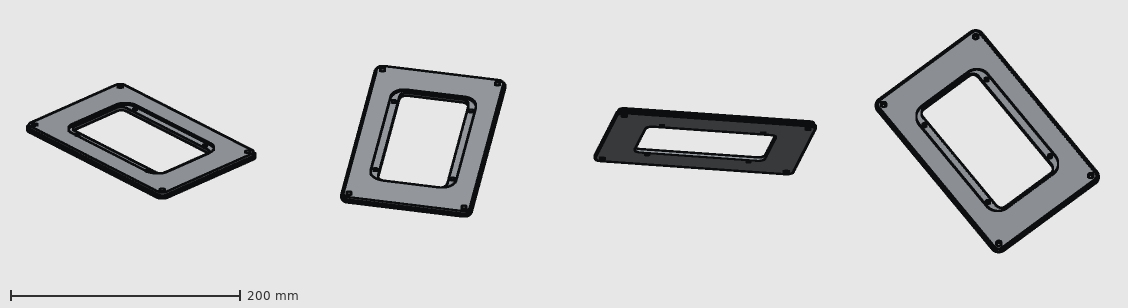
import cadquery as cq

length = 177.1
width = 115.8
height = 5.4

flange_overhang = 1.95
flange_height = 2.4

chamfer_height = 1.2
chamfer_inset = 0.6

panel_length = length - 2 * flange_overhang
panel_width = width - 2 * flange_overhang
panel_corner_radius = 5.0
flange_corner_radius = panel_corner_radius + flange_overhang

corner_hole_diameter = 4.6
corner_hole_spacing_x = panel_length - 2 * panel_corner_radius
corner_hole_spacing_y = panel_width - 2 * panel_corner_radius

recess_length = 119.9
recess_width = 75.7
recess_corner_radius = 12.0
recess_depth = 2.0

window_length = 115.7
window_width = 61.4
window_corner_radius = 6.0

ledge_hole_diameter = 3.6
ledge_hole_spacing_x = 90.0
ledge_hole_spacing_y = (recess_width + window_width) / 2


def rounded_block(size_x, size_y, corner_radius, bottom, top):
    """Centred rectangular block with rounded vertical edges."""
    block = cq.Workplane("XY", origin=(0, 0, bottom)).rect(size_x, size_y).extrude(top - bottom)
    return block.edges("|Z").fillet(corner_radius)


def four_holes(spacing_x, spacing_y, diameter):
    """Four through-hole cutters on the corners of a centred rectangle."""
    centres = cq.Workplane("XY").rect(spacing_x, spacing_y, forConstruction=True).vertices()
    return centres.circle(diameter / 2).extrude(height)


def make_body():
    """Panel standing on a wider flange with a chamfered bottom edge."""
    flange = rounded_block(length, width, flange_corner_radius, 0, flange_height)
    flange = flange.faces("<Z").edges().chamfer(chamfer_height, chamfer_inset)
    panel = rounded_block(panel_length, panel_width, panel_corner_radius, 0, height)
    return flange.union(panel)


def make_window():
    """Cutter for the through window and the recess around it."""
    window = rounded_block(window_length, window_width, window_corner_radius, 0, height)
    recess_floor = height - recess_depth
    recess = rounded_block(recess_length, recess_width, recess_corner_radius, recess_floor, height)
    return window.union(recess)


corner_holes = four_holes(corner_hole_spacing_x, corner_hole_spacing_y, corner_hole_diameter)
ledge_holes = four_holes(ledge_hole_spacing_x, ledge_hole_spacing_y, ledge_hole_diameter)

result = make_body().cut(make_window()).cut(corner_holes).cut(ledge_holes)